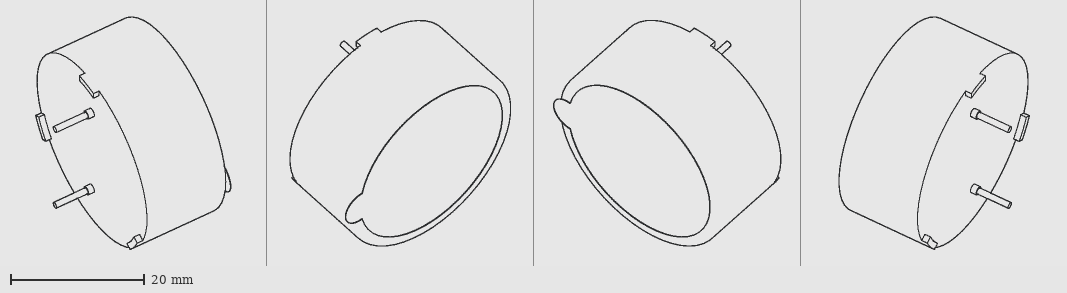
import cadquery as cq

total_width = 32.8

housing_radius = 15.9
housing_depth = 14.0
back_fillet = 0.5

foot_height = 1.0
foot_width = 4.1
foot_thickness = 1.05
foot_angles = (0, 120, 240)

pin_offset = 8.75
pin_radius = 0.5
pin_length = 6.5
collar_radius = 0.7
collar_height = foot_height

label_radius = 13.95
label_thickness = 0.1
tab_radius = total_width - housing_radius - label_radius


def cylinder_along_y(radius, y_start, y_end, x=0, z=0):
    """Solid cylinder parallel to Y, between two Y positions."""
    return (
        cq.Workplane("XZ", origin=(0, y_end, 0))
        .center(x, z)
        .circle(radius)
        .extrude(y_end - y_start)
    )


def make_foot(angle):
    """Parallel-sided piece of the rim, turned about Y from the +Z position."""
    inner_radius = housing_radius - foot_thickness
    ring = cylinder_along_y(housing_radius, -foot_height, 0).cut(
        cylinder_along_y(inner_radius, -foot_height, 0)
    )
    sector = cq.Workplane("XY").box(
        foot_width, foot_height, housing_radius, centered=(True, False, False)
    )
    foot = ring.intersect(sector.translate((0, -foot_height, 0)))
    return foot.rotate((0, 0, 0), (0, 1, 0), angle)


def make_pin(z):
    """Straight pin with its root collar."""
    pin = cylinder_along_y(pin_radius, -pin_length, 0, z=z)
    collar = cylinder_along_y(collar_radius, -collar_height, 0, z=z)
    return pin.union(collar)


def make_housing():
    """Drum with a rounded back edge, its feet and its pins."""
    body = cylinder_along_y(housing_radius, 0, housing_depth)
    body = body.faces(">Y").edges().fillet(back_fillet)
    for angle in foot_angles:
        body = body.union(make_foot(angle))
    for z in (-pin_offset, pin_offset):
        body = body.union(make_pin(z))
    return body


def make_label():
    """Thin disc on the back face; the tab circle is centred on the disc's rim."""
    label_back = housing_depth + label_thickness
    disc = cylinder_along_y(label_radius, housing_depth, label_back)
    tab = cylinder_along_y(tab_radius, housing_depth, label_back, x=label_radius)
    return disc.union(tab)


housing = make_housing()
label = make_label()

result = cq.Compound.makeCompound([housing.val(), label.val()])